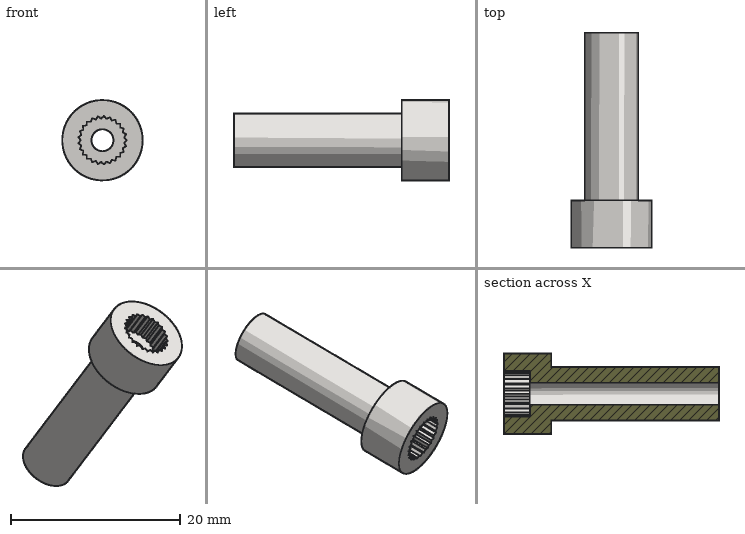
import cadquery as cq
import math

total_length = 25.4
head_diameter = 9.52
head_length = 5.6
shank_diameter = 6.35
bore_diameter = 2.57

tooth_count = 25
socket_tip_radius = 2.87
socket_root_radius = 2.57
socket_depth = 3.05

head_face_y = -total_length / 2


def cylinder_along_y(diameter, start_y, length):
    """Solid cylinder on the Y axis, growing toward +Y from start_y."""
    plane = cq.Workplane("XZ", origin=(0, start_y, 0))
    return plane.circle(diameter / 2).extrude(-length)


def serrated_socket():
    """Cutter with V-shaped serrations, one groove tip pointing along +X."""
    points = []
    for index in range(2 * tooth_count):
        angle = math.pi * index / tooth_count
        radius = socket_tip_radius if index % 2 == 0 else socket_root_radius
        points.append((radius * math.cos(angle), radius * math.sin(angle)))
    plane = cq.Workplane("XZ", origin=(0, head_face_y, 0))
    return plane.polyline(points).close().extrude(-socket_depth)


head = cylinder_along_y(head_diameter, head_face_y, head_length)
shank = cylinder_along_y(shank_diameter, head_face_y + head_length, total_length - head_length)
bore = cylinder_along_y(bore_diameter, head_face_y, total_length)

result = head.union(shank).cut(bore).cut(serrated_socket())